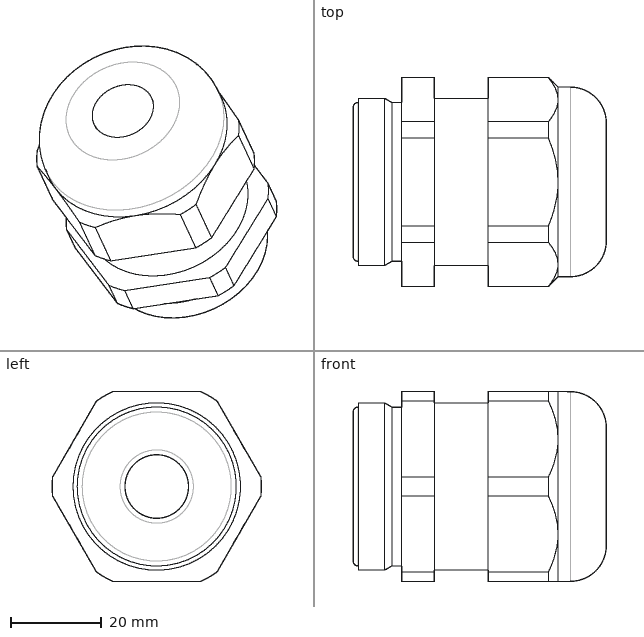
import cadquery as cq

total_length = 56.0
bore_diameter = 14.0
edge_radius = 1.1

body_diameter = 37.0
relief_diameter = 35.15
pilot_end = 1.2
thread_end = 7.0
runout_length = 1.6
relief_start = thread_end + runout_length

across_flats = 42.0
across_corners = 46.28
flats_up_angle = 90.0
flange_start = 10.75
flange_length = 7.25
cap_start = 29.85

dome_diameter = across_flats
dome_radius = 8.0
cap_chamfer = (across_corners - dome_diameter) / 2
cap_hex_end = 45.3


def cylinder(diameter, start, end):
    """Solid cylinder along X between two stations."""
    return cq.Workplane("YZ").workplane(offset=start).circle(diameter / 2).extrude(end - start)


def hexagon(blank, start, end):
    """Hexagon along X with flats at +Z and -Z, its corners limited by a turned blank."""
    sharp_prism = (
        cq.Workplane("YZ")
        .workplane(offset=start)
        .polygon(6, across_flats, circumscribed=True)
        .extrude(end - start)
        .rotate((0, 0, 0), (1, 0, 0), flats_up_angle)
    )
    return sharp_prism.intersect(blank)


def threaded_body():
    """Pilot, thread with conical run-out, relief groove and barrel."""
    pilot = cylinder(relief_diameter, 0, pilot_end).faces("<X").edges().fillet(edge_radius)
    runout_depth = (body_diameter - relief_diameter) / 2
    thread = (
        cylinder(body_diameter, pilot_end, relief_start)
        .faces(">X")
        .chamfer(runout_length, runout_depth)
    )
    relief = cylinder(relief_diameter, relief_start, flange_start)
    barrel = cylinder(body_diameter, flange_start, cap_start)
    return pilot.union(thread).union(relief).union(barrel)


def flange():
    """Hexagonal wrench flange of the body."""
    flange_end = flange_start + flange_length
    blank = cylinder(across_corners, flange_start, flange_end)
    return hexagon(blank, flange_start, flange_end)


def cap():
    """Hexagonal cap nut with chamfered corners and a domed end."""
    blank = cylinder(across_corners, cap_start, cap_hex_end).faces(">X").chamfer(cap_chamfer)
    nut = hexagon(blank, cap_start, cap_hex_end)
    dome = cylinder(dome_diameter, cap_hex_end, total_length).faces(">X").edges().fillet(dome_radius)
    return nut.union(dome)


def bore():
    """Cutter for the through bore, flared by a rounded mouth at X = 0."""
    bore_radius = bore_diameter / 2
    mouth_radius = bore_radius + edge_radius
    return (
        cq.Workplane("XY")
        .moveTo(0, 0)
        .lineTo(0, mouth_radius)
        .radiusArc((edge_radius, bore_radius), -edge_radius)
        .lineTo(total_length, bore_radius)
        .lineTo(total_length, 0)
        .close()
        .revolve(360, (0, 0, 0), (1, 0, 0))
    )


result = threaded_body().union(flange()).union(cap()).cut(bore())